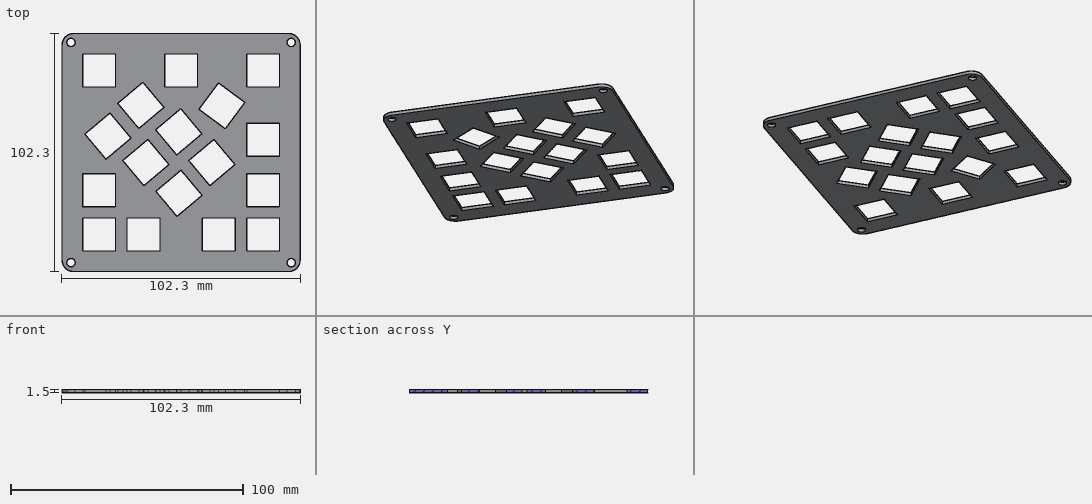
import cadquery as cq

plate_side = 102.3
plate_thickness = 1.5
corner_radius = 5.0

screw_hole_diameter = 3.5
screw_hole_inset = 3.9

key_side = 14.0
outer_key_offset = 35.2
inner_key_offset = 16.2
right_key_y = 5.5

cluster_angle = 40.0
column_starts = [(-31.4, 7.1), (-15.1, -4.3), (-0.9, -17.5)]
column_step = (14.1, 13.2)

single_key_center = (17.5, 20.1)
single_key_angle = -36.5


def key_cutter(centers, angle=0.0):
    """Square prisms through the plate, each turned by angle about its own center."""
    return (
        cq.Workplane("XY")
        .pushPoints(centers)
        .eachpoint(
            cq.Workplane("XY")
            .rect(key_side, key_side)
            .extrude(plate_thickness)
            .rotate((0, 0, 0), (0, 0, 1), angle)
            .val()
        )
    )


def rounded_plate():
    """Square plate with rounded corners and a screw hole near each one."""
    hole_spacing = plate_side - 2 * screw_hole_inset
    return (
        cq.Workplane("XY")
        .rect(plate_side, plate_side)
        .extrude(plate_thickness)
        .edges("|Z")
        .fillet(corner_radius)
        .faces(">Z")
        .workplane()
        .rect(hole_spacing, hole_spacing, forConstruction=True)
        .vertices()
        .hole(screw_hole_diameter)
    )


upper_keys = [(x, outer_key_offset) for x in (-outer_key_offset, 0, outer_key_offset)]
middle_keys = [
    (-outer_key_offset, -inner_key_offset),
    (outer_key_offset, -inner_key_offset),
    (outer_key_offset, right_key_y),
]
lower_keys = [
    (x, -outer_key_offset)
    for x in (-outer_key_offset, -inner_key_offset, inner_key_offset, outer_key_offset)
]
cluster_keys = []
for start_x, start_y in column_starts:
    cluster_keys.append((start_x, start_y))
    cluster_keys.append((start_x + column_step[0], start_y + column_step[1]))

result = (
    rounded_plate()
    .cut(key_cutter(upper_keys + middle_keys + lower_keys))
    .cut(key_cutter(cluster_keys, cluster_angle))
    .cut(key_cutter([single_key_center], single_key_angle))
)